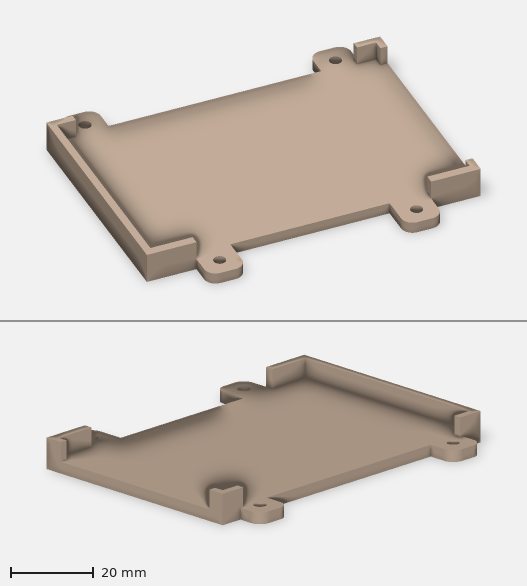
import cadquery as cq

length = 88.3
overall_width = 74.4
height = 8.0
plate_thickness = 3.0

frame_left = 6.7
frame_right = 66.8
plate_left = 7.7
plate_right = 64.55
wall = 1.9
left_wall_length = 7.0
lip_reach = 2.6

tab_width = 10.0
tab_radius = 3.0
hole_diameter = 3.2
left_tab_inset = 11.0
right_tab_inset = 18.1

hole_edge_distance = tab_width / 2
right_wall_length = right_tab_inset - tab_width / 2


def block(x_start, x_end, y_start, y_end, z_height):
    """Box standing on the base plane, given by its side positions."""
    size = (x_end - x_start, y_end - y_start, z_height)
    return cq.Workplane("XY").box(*size, centered=False).translate((x_start, y_start, 0))


def tab(x_outer, x_inner, y_center):
    """Flat tab with its two outer corners rounded."""
    x_start, x_end = sorted((x_outer, x_inner))
    body = block(x_start, x_end, y_center - tab_width / 2, y_center + tab_width / 2, plate_thickness)
    outer_side = "<X" if x_outer < x_inner else ">X"
    return body.faces(outer_side).edges("|Z").fillet(tab_radius)


result = block(plate_left, plate_right, 0, length, plate_thickness)

for wall_start, wall_end, wall_length in (
    (frame_left, frame_left + wall, left_wall_length),
    (plate_right, frame_right, right_wall_length),
):
    result = result.union(block(wall_start, wall_end, 0, wall_length, height))
    result = result.union(block(wall_start, wall_end, length - wall_length, length, height))

result = result.union(block(frame_left, frame_right, 0, wall, height))

left_lip_end = frame_left + wall + lip_reach
right_lip_start = plate_right - lip_reach
result = result.union(block(frame_left, left_lip_end, length - wall, length, height))
result = result.union(block(right_lip_start, frame_right, length - wall, length, height))

for x_outer, x_inner, x_hole, inset in (
    (0, plate_left, hole_edge_distance, left_tab_inset),
    (overall_width, plate_right, overall_width - hole_edge_distance, right_tab_inset),
):
    for y_center in (inset, length - inset):
        result = result.union(tab(x_outer, x_inner, y_center))
        hole = cq.Workplane("XY").center(x_hole, y_center).circle(hole_diameter / 2)
        result = result.cut(hole.extrude(plate_thickness))